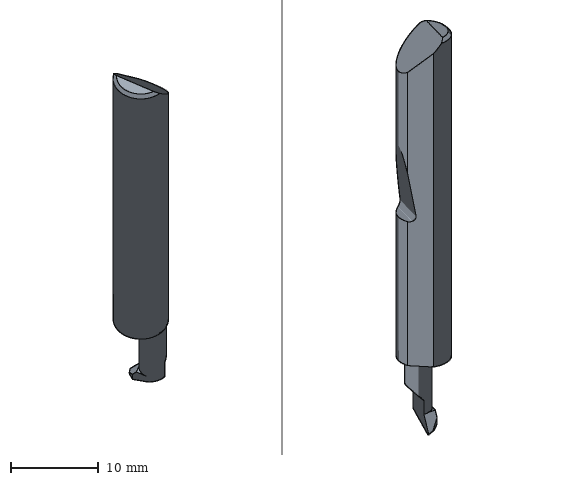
import math

import cadquery as cq

total_length = 50.8
neck_length = 9.525
shank_diameter = 6.35
neck_diameter = shank_diameter / 2

shank_radius = shank_diameter / 2
neck_radius = neck_diameter / 2
shank_length = total_length - neck_length
neck_center_x = shank_radius - neck_radius

end_chamfer = 0.4
end_flat_edge_y = -1.32

flat_distance = 2.8
flat_normal_angle = 150.0

notch_bottom_z = 27.8
notch_slope_angle = 9.0
notch_top_z = 36.9
notch_corner_radius = 0.75

relief_end_z = 3.82

head_top_z = 2.15
nose_x = -1.42
nose_radius = 0.18
end_edge_angle = 18.0
back_edge_angle = 53.0
clearance_angle = 9.0
heel_x = -0.17
heel_angle = 47.0

nose_half_angle = math.radians((back_edge_angle - end_edge_angle) / 2)
nose_direction = math.radians((back_edge_angle + end_edge_angle) / 2)
nose_setback = nose_radius / math.sin(nose_half_angle)
corner_x = nose_x + nose_radius - nose_setback * math.cos(nose_direction)
corner_z = nose_radius - nose_setback * math.sin(nose_direction)

margin = 1.0


def make_shank():
    """Round bar with a chamfered end, an end bevel, a lengthwise flat and a clamping notch."""
    shank = (
        cq.Workplane("XY")
        .workplane(offset=neck_length)
        .circle(shank_radius)
        .extrude(shank_length)
        .faces(">Z")
        .chamfer(end_chamfer)
    )
    return shank.cut(make_end_bevel()).cut(make_flat()).cut(make_notch())


def extrude_along_x(points):
    """Extrude a closed (y, z) outline past both sides of the shank."""
    return (
        cq.Workplane("YZ")
        .polyline(points)
        .close()
        .extrude(shank_radius + margin, both=True)
    )


def make_end_bevel():
    """45 degree wedge that removes the +Y side of the shank end."""
    run = shank_radius + margin - end_flat_edge_y
    return extrude_along_x(
        [
            (end_flat_edge_y, total_length),
            (end_flat_edge_y + run, total_length - run),
            (end_flat_edge_y + run, total_length),
        ]
    )


def make_flat():
    """Block outside the plane of the lengthwise flat."""
    return (
        cq.Workplane("XY")
        .box(shank_radius, shank_diameter, total_length, centered=(False, True, False))
        .translate((flat_distance, 0, 0))
        .rotate((0, 0, 0), (0, 0, 1), flat_normal_angle)
    )


def make_notch():
    """Wedge with a square lower wall, a sloping floor and a rounded corner."""
    slope = math.tan(math.radians(notch_slope_angle))
    floor_y = shank_radius - (notch_top_z - notch_bottom_z) * slope
    outer_y = shank_radius + margin
    notch = extrude_along_x(
        [
            (floor_y, notch_bottom_z),
            (outer_y, notch_bottom_z),
            (outer_y, notch_top_z + margin / slope),
        ]
    )
    return notch.edges("|X and <Y").fillet(notch_corner_radius)


def make_neck():
    """Slim round neck, cut back to half below a 45 degree run-out."""
    neck = (
        cq.Workplane("XY")
        .center(neck_center_x, 0)
        .circle(neck_radius)
        .extrude(neck_length)
    )
    reach = neck_radius + margin
    relief = extrude_along_x(
        [
            (0, -margin),
            (reach, -margin),
            (reach, relief_end_z + reach),
            (0, relief_end_z),
        ]
    )
    return neck.cut(relief)


def make_edge_cut(edge_angle, side):
    """Large block bounded by the clearance plane of one cutting edge.

    The edge runs through the nose corner at edge_angle to the X axis.
    side is +1 to remove material above the edge, -1 to remove it below.
    """
    size = 2 * shank_diameter
    return (
        cq.Workplane("XY")
        .box(2 * size, 2 * size, size)
        .translate((0, 0, side * size / 2))
        .rotate((0, 0, 0), (1, 0, 0), side * clearance_angle)
        .rotate((0, 0, 0), (0, 1, 0), -edge_angle)
        .translate((corner_x, 0, corner_z))
    )


def make_heel_cut():
    """Block behind the slanting heel at the back of the point."""
    size = shank_diameter
    return (
        cq.Workplane("XY")
        .box(size, 2 * size, 2 * size)
        .translate((-size / 2, 0, 0))
        .rotate((0, 0, 0), (0, 0, 1), heel_angle)
        .translate((heel_x, -neck_radius, 0))
    )


def make_head(end_cut):
    """Head from the cutting face to the back of the neck, up to the neck axis."""
    width = neck_center_x - corner_x
    height = head_top_z - corner_z
    head = (
        cq.Workplane("XY")
        .box(width, neck_radius, height, centered=False)
        .translate((corner_x, -neck_radius, corner_z))
        .cut(end_cut)
        .cut(make_edge_cut(back_edge_angle, 1))
    )
    nose_edge = cq.NearestToPointSelector((corner_x, -neck_radius / 2, corner_z))
    return head.edges(nose_edge).fillet(nose_radius).cut(make_heel_cut())


end_cut = make_edge_cut(end_edge_angle, -1)
tool_end = make_neck().cut(end_cut).union(make_head(end_cut))
result = make_shank().union(tool_end)